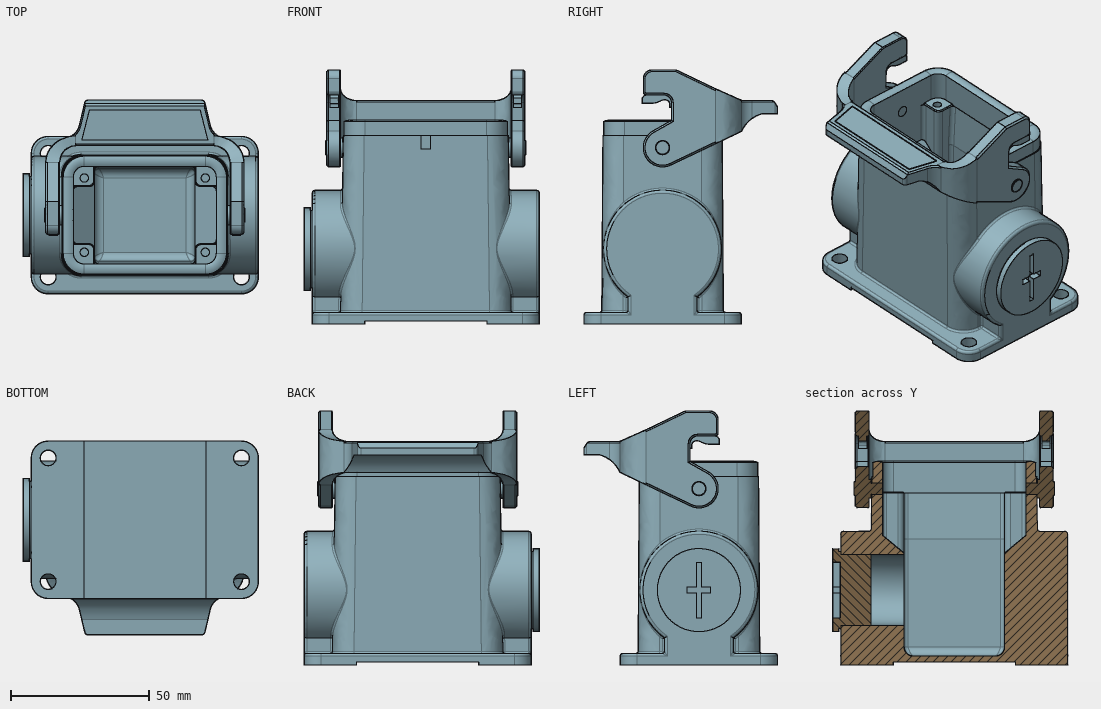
import cadquery as cq
import math


margin = 0.1

plate_length = 82.1
plate_width = 56.9
plate_thickness = 4.2
plate_corner = 6.15
plate_edge = 1.0
mount_hole_d = 5.6
mount_hole_x = 34.9
mount_hole_y = 22.3
relief_length = 44.1
relief_height = 1.1

tower_base_length = 61.7
tower_base_width = 44.1
tower_base_corner = 7.8
tower_top_length = 59.6
tower_top_width = 43.15
collar_length = 58.9
collar_width = 42.6
collar_corner = 7.5
collar_bottom_z = 68.0
collar_top_z = 73.2
rim_crown = 0.5
rim_width = 3.7
notch_width = 3.5
notch_height = 4.8
notch_depth = 0.6

entry_z = 27.1
boss_radius = 21.3
boss_edge = 1.1
neck_width = 25.0
root_fillet = 0.7

mouth_length = collar_length - 2 * rim_width
mouth_width = collar_width - 2 * rim_width
mouth_corner = collar_corner - rim_width
post_top_z = 62.4
wall_break_z = 45.4
floor_z = 3.3
floor_fillet = 3.2
well_length = 36.2
well_floor_width = 33.2
well_break_width = 33.4
well_corner = 1.4
post_edge = 0.4
bay_width = 20.6
bay_corner = 1.4
post_corner = 2.2
bay_outer_z = 46.8
bay_inner_z = 40.4
screw_hole_d = 3.0
screw_hole_depth = 11.0
screw_hole_x = 21.85
screw_hole_y = 13.4

plug_head_d = 30.0
plug_head_thickness = 2.3
plug_neck_d = 28.0
plug_neck_length = 0.6
plug_shank_d = 25.5
plug_shank_length = 11.0
slot_height = 20.0
slot_width = 1.8
cross_slot_length = 8.4
cross_slot_width = 2.2
slot_depth = 2.75

pivot_z = 63.7
pivot_eye_radius = 7.0
leg_outer_x = 35.8
leg_inner_x = 30.75
leg_edge = 0.6
leg_top_z = 91.8
leg_slope_y = 5.0
leg_front_y = -7.0
leg_nose_corner = 3.2
leg_lip_corner = 1.1
leg_inner_edge = 0.4
hook_bottom_z = 82.7
hook_back_y = 3.2
hook_mouth_z = 73.5
hook_corner = 2.75
bend_y = 19.1
bend_x = 25.0
bend_top_z = 85.0
bend_bottom_z = 65.1
bend_step = 15
bar_inner_y = 25.1
bar_outer_y = 28.55
bar_bottom_z = 69.6
bar_top_z = 80.8
handle_bottom_z = 75.9
handle_tip_y = 41.6
grip_hollow = (31.8, 73.8)
grip_hollow_end_y = 36.0
grip_bevel_y = 40.0
grip_bevel_z = 78.3
grip_root = (27.7, 28.1)
grip_root_mid = (25.1, 29.7)
grip_flank = (23.7, 32.3)
grip_tip_x = 21.5
grip_corner = 1.4
panel_depth = 0.3
panel_near_x = 22.8
panel_near_y = 27.1
panel_far_x = 20.0
panel_far_y = 37.9
handle_edge = 0.55
catch_inner_x = 31.6
catch_outer_x = 34.6
catch_foot_y = 2.6
catch_foot_z = 78.2
catch_wave_start = (catch_foot_y, 79.3)
catch_crest = (0.8, 81.0)
catch_trough = (-4.6, 79.7)
catch_tip_y = -7.3
catch_lip_z = 81.7
pin_d = 4.0
pin_head_d = 5.1
pin_head_height = 0.5
pin_head_edge = 0.2
shoulder_d = 7.0
shoulder_inner_x = 29.9


def rounded_prism(length, width, corner, bottom_z, top_z):
    """Rectangular block with rounded vertical corners."""
    prism = cq.Workplane("XY").workplane(offset=bottom_z).rect(length, width)
    return prism.extrude(top_z - bottom_z).edges("|Z").fillet(corner)


def rounded_section(length, width, corner, z):
    sketch = cq.Sketch().rect(length, width).vertices().fillet(corner)
    return sketch.moved(cq.Location(cq.Vector(0, 0, z)))


def edge_box(reach_x, reach_y, low_z, high_z):
    """Selector for the edges centred inside a box that is symmetric about the Z axis."""
    return cq.selectors.BoxSelector((-reach_x, -reach_y, low_z), (reach_x, reach_y, high_z))


def corner_points(x, y):
    return [(side * x, end * y) for side in (-1, 1) for end in (-1, 1)]


def x_cylinder(diameter, x_start, x_end, z):
    plane = cq.Plane(origin=(x_start, 0, z), xDir=(0, 1, 0), normal=(1, 0, 0))
    return cq.Workplane(plane).circle(diameter / 2).extrude(x_end - x_start)


def make_plate():
    plate = rounded_prism(plate_length, plate_width, plate_corner, 0, plate_thickness)
    return plate.faces(">Z").edges().fillet(plate_edge)


def make_tower():
    base = rounded_section(tower_base_length, tower_base_width, tower_base_corner, 0)
    top = rounded_section(tower_top_length, tower_top_width, collar_corner, collar_bottom_z)
    tower = cq.Workplane("XY").placeSketch(base, top).loft(ruled=True)
    collar = rounded_prism(collar_length, collar_width, collar_corner, collar_bottom_z, collar_top_z)
    return tower.union(collar)


def make_boss():
    """Cable entry boss on the -X side, standing on the plate through a narrower neck."""
    outer_x = -plate_length / 2
    boss = x_cylinder(2 * boss_radius, outer_x, 0, entry_z)
    neck = cq.Workplane("XY").box(-outer_x, neck_width, entry_z, centered=(False, True, False))
    boss = boss.union(neck.translate((outer_x, 0, 0)))
    return boss.faces("<X").edges("not <Z").fillet(boss_edge)


def make_rim_crown():
    """Shallow arched top along the wall of the collar."""
    mid_length = collar_length - rim_width
    mid_width = collar_width - rim_width
    mid_corner = collar_corner - rim_width / 2
    middle = rounded_prism(mid_length, mid_width, mid_corner, collar_bottom_z, collar_top_z)
    path = middle.faces(">Z").wires()
    start = cq.Plane(origin=(0, -mid_width / 2, collar_top_z), xDir=(0, 1, 0), normal=(1, 0, 0))
    half = rim_width / 2
    arch = cq.Workplane(start).moveTo(-half, 0).threePointArc((0, rim_crown), (half, 0)).close()
    return arch.sweep(path, transition="round")


def make_well():
    """Central well, with long walls that close in towards the floor in two steps."""
    profile = [
        (-mouth_width / 2, post_top_z),
        (-well_break_width / 2, wall_break_z),
        (-well_floor_width / 2, floor_z),
        (well_floor_width / 2, floor_z),
        (well_break_width / 2, wall_break_z),
        (mouth_width / 2, post_top_z),
    ]
    well = cq.Workplane("YZ").polyline(profile).close().extrude(well_length / 2, both=True)
    corners = edge_box(well_length, mouth_width, floor_z + margin, post_top_z - margin)
    well = well.edges(corners).edges("not |X").fillet(well_corner)
    return well.faces("<Z").edges().fillet(floor_fillet)


def make_bays():
    """Side bays between the screw posts, with a floor that falls towards the well."""
    wall_x = mouth_length / 2
    well_x = well_length / 2
    profile = [
        (-wall_x, post_top_z),
        (-wall_x, bay_outer_z),
        (-well_x, bay_inner_z),
        (well_x, bay_inner_z),
        (wall_x, bay_outer_z),
        (wall_x, post_top_z),
    ]
    bays = cq.Workplane("XZ").polyline(profile).close().extrude(bay_width / 2, both=True)
    return bays.edges("|Z").fillet(bay_corner)


def make_screw_holes():
    spots = corner_points(screw_hole_x, screw_hole_y)
    holes = cq.Workplane("XY").workplane(offset=post_top_z).pushPoints(spots)
    return holes.circle(screw_hole_d / 2).extrude(-screw_hole_depth)


def make_post_edges():
    """Shallow cross that flares upwards to chamfer the tops of the screw posts."""
    bottom_z = post_top_z - post_edge
    height = 2 * post_edge
    along = cq.Workplane("XY").box(tower_base_length, bay_width + 2 * post_edge, height)
    across = cq.Workplane("XY").box(well_length + 2 * post_edge, tower_base_width, height)
    cross = along.union(across)
    inner_corners = edge_box(well_length / 2 + 0.9, bay_width / 2 + 0.9, -height, height)
    cross = cross.edges("|Z").edges(inner_corners).fillet(post_corner - post_edge)
    cross = cross.faces("<Z").edges().chamfer(post_edge).translate((0, 0, bottom_z + height / 2))
    outline = rounded_prism(mouth_length, mouth_width, mouth_corner, bottom_z, bottom_z + height)
    return cross.intersect(outline)


def make_cavity():
    mouth = rounded_prism(mouth_length, mouth_width, mouth_corner, post_top_z, collar_top_z + rim_crown)
    deep = make_well().union(make_bays())
    post_corners = edge_box(well_length / 2 + margin, bay_width / 2 + margin, bay_inner_z, post_top_z)
    deep = deep.edges(post_corners).edges("|Z").fillet(post_corner)
    return mouth.union(deep).union(make_post_edges()).union(make_screw_holes())


def make_housing():
    tower = make_tower()
    boss = make_boss()
    shell = tower.union(boss).union(boss.mirror("YZ")).union(make_plate())
    plate_level = plate_thickness + margin
    inside_corners_x = plate_length / 2 - plate_corner / 2
    inside_corners_y = plate_width / 2 - plate_corner / 2
    plate_roots = edge_box(inside_corners_x, inside_corners_y, plate_thickness - margin, plate_level)
    boss_roots = edge_box(tower_base_length / 2 + 0.9, boss_radius - 0.9, plate_level, entry_z + boss_radius)
    shell = shell.edges(plate_roots + boss_roots).fillet(root_fillet)
    housing = shell.union(make_rim_crown())
    housing = housing.cut(make_cavity())

    spots = corner_points(mount_hole_x, mount_hole_y)
    mount_holes = cq.Workplane("XY").pushPoints(spots).circle(mount_hole_d / 2).extrude(plate_thickness)
    relief = cq.Workplane("XY").box(relief_length, plate_width, relief_height, centered=(True, True, False))
    housing = housing.cut(mount_holes).cut(relief)

    notch = cq.Workplane("XY").box(notch_width, 2 * notch_depth, notch_height)
    notch_z = collar_bottom_z - notch_height / 2
    housing = housing.cut(notch.translate((0, -tower_top_width / 2, notch_z)))

    entry_x = -plate_length / 2
    housing = housing.cut(x_cylinder(plug_shank_d, entry_x, 0, entry_z))
    return housing.cut(x_cylinder(pin_d, -leg_inner_x, leg_inner_x, pivot_z))


def make_plug():
    seat_x = -plate_length / 2
    head_x = seat_x - plug_neck_length
    face_x = head_x - plug_head_thickness
    plug = x_cylinder(plug_head_d, face_x, head_x, entry_z)
    plug = plug.union(x_cylinder(plug_neck_d, head_x, seat_x, entry_z))
    plug = plug.union(x_cylinder(plug_shank_d, seat_x, seat_x + plug_shank_length, entry_z))
    slot = cq.Workplane("XY").box(2 * slot_depth, slot_width, slot_height)
    cross_slot = cq.Workplane("XY").box(2 * slot_depth, cross_slot_length, cross_slot_width)
    return plug.cut(slot.union(cross_slot).translate((face_x, 0, entry_z)))


def eye_tangent(y, z, side):
    """Point where a line from (y, z) touches the pivot eye; side picks one of the two."""
    rise = z - pivot_z
    angle = math.atan2(rise, y) + side * math.acos(pivot_eye_radius / math.hypot(y, rise))
    return pivot_eye_radius * math.cos(angle), pivot_z + pivot_eye_radius * math.sin(angle)


def round_leg_corner(leg, y, z, radius):
    low = (-leg_outer_x, y - margin, z - margin)
    high = (-leg_inner_x, y + margin, z + margin)
    corner = cq.selectors.BoxSelector(low, high)
    return leg.edges(corner).fillet(radius)


def make_leg():
    upper_tangent = eye_tangent(hook_back_y, hook_mouth_z, 1)
    lower_tangent = eye_tangent(bend_y, bend_bottom_z, -1)
    diagonal = pivot_eye_radius * math.sqrt(0.5)
    eye_side = (-diagonal, pivot_z - diagonal)
    leg = (
        cq.Workplane("YZ")
        .workplane(offset=-leg_outer_x)
        .moveTo(bend_y, bend_bottom_z)
        .lineTo(*lower_tangent)
        .threePointArc(eye_side, upper_tangent)
        .lineTo(hook_back_y, hook_mouth_z)
        .lineTo(hook_back_y, hook_bottom_z)
        .lineTo(leg_front_y, hook_bottom_z)
        .lineTo(leg_front_y, leg_top_z)
        .lineTo(leg_slope_y, leg_top_z)
        .lineTo(bend_y, bend_top_z)
        .close()
        .extrude(leg_outer_x - leg_inner_x)
    )
    leg = round_leg_corner(leg, leg_front_y, leg_top_z, leg_nose_corner)
    leg = round_leg_corner(leg, leg_front_y, hook_bottom_z, leg_lip_corner)
    leg = round_leg_corner(leg, hook_back_y, hook_bottom_z, hook_corner)
    leg = leg.faces("<X").edges("not >Y").chamfer(leg_edge)
    return leg.faces(">X").edges("not >Y").chamfer(leg_inner_edge)


def bend_edge(reach_x, reach_y, leg_z, bar_z):
    """Quarter turn from the leg to the bar that climbs or falls from leg_z to bar_z."""
    points = []
    for degrees in range(0, 91, bend_step):
        turn = math.radians(degrees)
        x = -bend_x - reach_x * math.cos(turn)
        y = bend_y + reach_y * math.sin(turn)
        points.append(cq.Vector(x, y, leg_z + (bar_z - leg_z) * math.sin(turn)))
    tangents = [cq.Vector(0, reach_y, bar_z - leg_z), cq.Vector(reach_x, 0, 0)]
    return cq.Edge.makeSpline(points, tangents=tangents)


def make_bend():
    """Corner between leg and bar, its top and bottom ruled between an inner and an outer curve."""
    inner = (leg_inner_x - bend_x, bar_inner_y - bend_y)
    outer = (leg_outer_x - bend_x, bar_outer_y - bend_y)
    top = (bend_top_z, bar_top_z)
    bottom = (bend_bottom_z, bar_bottom_z)
    loop = [
        bend_edge(*inner, *top),
        bend_edge(*outer, *top),
        bend_edge(*outer, *bottom),
        bend_edge(*inner, *bottom),
    ]
    faces = [cq.Face.makeRuledSurface(loop[i - 1], loop[i]) for i in range(len(loop))]
    for end_point in (cq.Edge.startPoint, cq.Edge.endPoint):
        border = cq.Wire.makePolygon([end_point(edge) for edge in loop], close=True)
        faces.append(cq.Face.makeFromWires(border))
    return cq.Workplane(cq.Solid.makeSolid(cq.Shell.makeShell(faces)).fix())


def make_handle():
    """Cross bar and finger grip: a side profile trimmed to the outline of the grip."""
    profile = (
        cq.Workplane("YZ")
        .moveTo(bar_inner_y, bar_bottom_z)
        .lineTo(bar_outer_y, bar_bottom_z)
        .threePointArc(grip_hollow, (grip_hollow_end_y, handle_bottom_z))
        .lineTo(handle_tip_y, handle_bottom_z)
        .lineTo(handle_tip_y, grip_bevel_z)
        .lineTo(grip_bevel_y, bar_top_z)
        .lineTo(bar_inner_y, bar_top_z)
        .close()
        .extrude(leg_inner_x, both=True)
    )
    outline = (
        cq.Workplane("XY")
        .workplane(offset=bar_bottom_z)
        .moveTo(-bend_x, bar_inner_y)
        .lineTo(-grip_root[0], grip_root[1])
        .threePointArc((-grip_root_mid[0], grip_root_mid[1]), (-grip_flank[0], grip_flank[1]))
        .lineTo(-grip_tip_x, handle_tip_y)
        .lineTo(grip_tip_x, handle_tip_y)
        .lineTo(*grip_flank)
        .threePointArc(grip_root_mid, grip_root)
        .lineTo(bend_x, bar_inner_y)
        .close()
        .extrude(bar_top_z - bar_bottom_z)
    )
    outline = outline.edges("|Z and >Y").fillet(grip_corner)
    panel = cq.Workplane("XY").workplane(offset=bar_top_z - panel_depth)
    panel_outline = [
        (-panel_near_x, panel_near_y),
        (-panel_far_x, panel_far_y),
        (panel_far_x, panel_far_y),
        (panel_near_x, panel_near_y),
    ]
    panel = panel.polyline(panel_outline).close().extrude(panel_depth)
    handle = profile.intersect(outline)
    handle = handle.faces(">Z").edges().chamfer(handle_edge)
    return handle.cut(panel)


def make_catch():
    """Narrow wavy liner in the hook, which snaps over the mating locking stud."""
    return (
        cq.Workplane("YZ")
        .workplane(offset=-catch_outer_x)
        .moveTo(hook_back_y, hook_bottom_z)
        .lineTo(hook_back_y, catch_foot_z)
        .lineTo(catch_foot_y, catch_foot_z)
        .lineTo(*catch_wave_start)
        .spline([catch_crest, catch_trough], tangents=[(0, 1), (-1, 0)], includeCurrent=True)
        .lineTo(catch_tip_y, catch_trough[1])
        .lineTo(catch_tip_y, catch_lip_z)
        .lineTo(leg_front_y + leg_lip_corner / 2, hook_bottom_z)
        .close()
        .extrude(catch_outer_x - catch_inner_x)
    )


def make_pin():
    head = x_cylinder(pin_head_d, -leg_outer_x - pin_head_height, -leg_outer_x, pivot_z)
    head = head.faces("<X").chamfer(pin_head_edge)
    shoulder = x_cylinder(shoulder_d, -leg_inner_x, -shoulder_inner_x, pivot_z)
    return head.union(shoulder).union(x_cylinder(pin_d, -leg_outer_x, -mouth_length / 2, pivot_z))


def make_lever():
    arm = make_leg().union(make_catch()).union(make_bend()).union(make_pin())
    return arm.union(make_handle()).union(arm.mirror("YZ"))


housing = make_housing()
plug = make_plug()
lever = make_lever()

result = cq.Compound.makeCompound([*housing.solids().vals(), *plug.solids().vals(), *lever.solids().vals()])